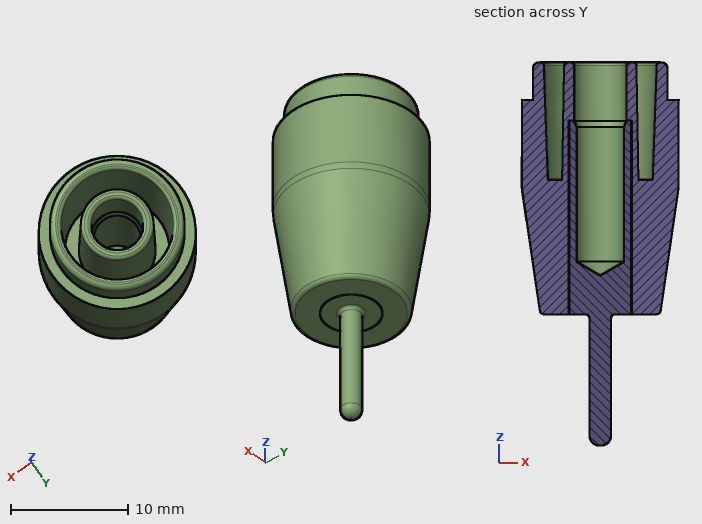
import cadquery as cq
import math


overall_height = 32.69

collar_diameter = 13.4
neck_diameter = 11.5
base_diameter = 10.25
housing_height = 21.5
neck_height = 3.2
taper_top = 10.8
neck_fillet = 0.5
base_fillet = 0.4
taper_blend_radius = 4.5

well_depth = 10.0
well_mouth_radius = 4.8
post_radius = 3.1
well_draft = 2.0
post_draft = 1.0
rim_fillet = 0.3

lip_diameter = 4.43
bore_diameter = 5.35
contact_diameter = 5.3
socket_diameter = 4.0
lead_in_depth = 0.5
socket_depth = 12.0
drill_point_angle = 120.0
contact_height = 16.5
pin_diameter = 1.9
pin_length = overall_height - housing_height
pin_root_fillet = 0.3
pin_tip_fillet = 0.9


def turned(outline):
    """Turn a closed outline of (radius, height) around the Z axis."""
    return outline.close().revolve(360, (0, 0, 0), (0, 1, 0))


def circular_edge(body, radius, height):
    """Select the circular edge of a given radius at a given height."""
    tolerance = 0.001

    def matches(edge):
        right_height = abs(edge.Center().z - height) < tolerance
        return right_height and abs(edge.radius() - radius) < tolerance

    return body.edges("%CIRCLE").filter(matches)


def make_housing():
    """Stepped, tapered housing with a shrouding well, a central post and a bore for the contact."""
    collar_radius = collar_diameter / 2
    neck_radius = neck_diameter / 2
    collar_top = housing_height - neck_height
    body = turned(
        cq.Workplane("XZ")
        .lineTo(base_diameter / 2, 0)
        .lineTo(collar_radius, taper_top)
        .lineTo(collar_radius, collar_top)
        .lineTo(neck_radius, collar_top)
        .lineTo(neck_radius, housing_height)
        .lineTo(0, housing_height)
    )
    body = body.faces("<Z").edges().fillet(base_fillet)
    body = circular_edge(body, collar_radius, taper_top).fillet(taper_blend_radius)
    body = body.faces(">Z").edges().fillet(neck_fillet)

    well_draft_run = well_depth * math.tan(math.radians(well_draft))
    post_draft_run = well_depth * math.tan(math.radians(post_draft))
    well_floor = housing_height - well_depth
    well = turned(
        cq.Workplane("XZ")
        .moveTo(post_radius, housing_height)
        .lineTo(well_mouth_radius, housing_height)
        .lineTo(well_mouth_radius - well_draft_run, well_floor)
        .lineTo(post_radius + post_draft_run, well_floor)
    )
    lip_bore = cq.Workplane("XY").circle(lip_diameter / 2).extrude(housing_height)
    contact_bore = cq.Workplane("XY").circle(bore_diameter / 2).extrude(contact_height)
    body = body.cut(well).cut(lip_bore).cut(contact_bore)

    for radius in (lip_diameter / 2, post_radius, well_mouth_radius):
        body = circular_edge(body, radius, housing_height).fillet(rim_fillet)
    return body


def make_contact():
    """Socket contact that fills the bore, drilled from above, with a round-tipped pin below."""
    contact_radius = contact_diameter / 2
    pin_radius = pin_diameter / 2
    socket_radius = socket_diameter / 2
    socket_floor = contact_height - socket_depth
    drill_point_depth = socket_radius / math.tan(math.radians(drill_point_angle / 2))
    body = turned(
        cq.Workplane("XZ")
        .moveTo(0, -pin_length)
        .lineTo(pin_radius, -pin_length)
        .lineTo(pin_radius, 0)
        .lineTo(contact_radius, 0)
        .lineTo(contact_radius, contact_height)
        .lineTo(lip_diameter / 2, contact_height)
        .lineTo(socket_radius, contact_height - lead_in_depth)
        .lineTo(socket_radius, socket_floor)
        .lineTo(0, socket_floor - drill_point_depth)
    )
    body = body.faces("<Z").edges().fillet(pin_tip_fillet)
    return circular_edge(body, pin_radius, 0).fillet(pin_root_fillet)


housing = make_housing()
contact = make_contact()

result = cq.Compound.makeCompound([housing.val(), contact.val()])